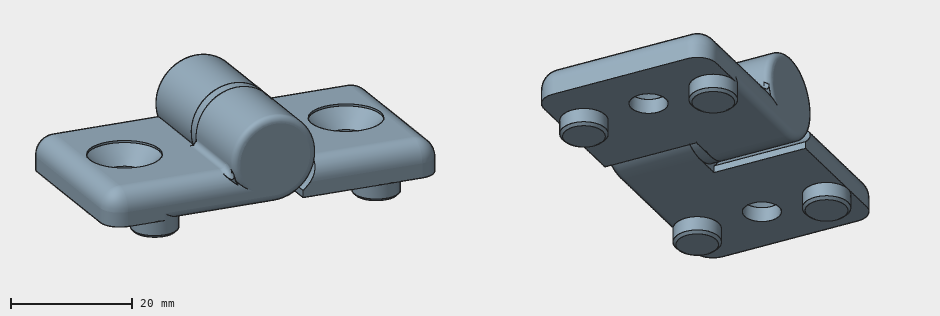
import cadquery as cq
import math

length = 60.0
width = 32.0
plate_height = 6.0
edge_radius = 3.5

barrel_diameter = 15.0
barrel_end_radius = 1.2
washer_thickness = 2.0
blend_radius = 1.0
blend_envelope = 1.2
blend_floor = 2.7
blend_start = 3.0

clearance_gap = 0.5
clearance_lip = 5.0

hole_offset = 20.0
hole_diameter = 6.4
countersink_diameter = 12.4
countersink_angle = 90.0
countersink_recess = 0.35

peg_diameter = 8.0
peg_length = 3.0
peg_chamfer = 0.5

half_width = width / 2
half_length = length / 2
axis_height = barrel_diameter / 2
clearance_radius = barrel_diameter / 2 + clearance_gap
barrel_length = (width - washer_thickness) / 2
washer_start = -washer_thickness / 2
valley_offset = math.sqrt(axis_height**2 - (axis_height - plate_height) ** 2)
valley_middle = (-(half_width - edge_radius - washer_start) / 2, valley_offset, plate_height)
peg_offset = half_width - peg_diameter / 2


def axial_cylinder(diameter, start, span):
    """Cylinder on the hinge axis, running in +X from start."""
    return (
        cq.Workplane("YZ", origin=(start, 0, axis_height))
        .circle(diameter / 2)
        .extrude(span)
    )


def make_plate():
    """Plate from the hinge axis to the outer end, with rounded outer corners and upper edges."""
    plate = (
        cq.Workplane("XY")
        .box(width, half_length, plate_height, centered=(True, False, False))
        .edges("|Z and >Y")
        .fillet(edge_radius)
    )
    return plate.faces(">Z").edges("not <Y").fillet(edge_radius)


def clearance_cutter():
    """Space for the washer and the opposite barrel, with a blunt lip along the bottom."""
    span = half_width - washer_start
    round_space = axial_cylinder(2 * clearance_radius, washer_start, span)
    lip_space = cq.Workplane("XY", origin=(washer_start, 0, 0)).box(
        span, clearance_lip, axis_height, centered=False
    )
    return round_space.union(lip_space)


def bottom_edge_cutter():
    """Waste of the rounded bottom side edge, between the barrel and the peg."""
    return (
        cq.Workplane("XZ", origin=(-half_width, 0, 0))
        .lineTo(barrel_end_radius, 0)
        .radiusArc((0, barrel_end_radius), barrel_end_radius)
        .close()
        .extrude(-hole_offset)
    )


def make_barrel():
    return (
        axial_cylinder(barrel_diameter, -half_width, barrel_length)
        .faces("<X")
        .edges()
        .fillet(barrel_end_radius)
    )


def make_peg(x):
    """Locating peg; its root reaches into the plate past the rounded bottom edge."""
    return (
        cq.Workplane("XY", origin=(x, hole_offset, -peg_length))
        .circle(peg_diameter / 2)
        .extrude(peg_length + barrel_end_radius)
        .faces("<Z")
        .chamfer(peg_chamfer)
    )


def cut_screw_hole(leaf):
    """Short straight rim at the top, then a countersunk through hole below it."""
    rim = (
        cq.Workplane("XY", origin=(0, hole_offset, plate_height))
        .circle(countersink_diameter / 2)
        .extrude(-countersink_recess)
    )
    cone_top = cq.Workplane("XY", origin=(0, hole_offset, plate_height - countersink_recess))
    return (
        leaf.cut(rim)
        .copyWorkplane(cone_top)
        .cskHole(hole_diameter, countersink_diameter, countersink_angle)
    )


def make_blend(plate):
    """Concave blend from the barrel to the plate top, running down over the rounded side edge."""
    long_barrel = axial_cylinder(barrel_diameter, -width, width + washer_start)
    upper_part = plate.union(long_barrel).intersect(
        cq.Workplane("XY", origin=(0, 0, blend_floor))
        .box(2 * width, length, barrel_diameter, centered=(True, True, False))
    )
    valley = cq.selectors.NearestToPointSelector(valley_middle)
    blended = upper_part.edges(valley).fillet(blend_radius)
    envelope_radius = axis_height + blend_envelope
    envelope = (
        axial_cylinder(2 * envelope_radius, -half_width, barrel_length)
        .faces("<X")
        .edges()
        .fillet(barrel_end_radius + blend_envelope)
    )
    neighbourhood = cq.Workplane("XY", origin=(-half_width, blend_start, blend_floor)).box(
        barrel_length, axis_height, axis_height - blend_floor, centered=False
    )
    return blended.intersect(neighbourhood).cut(long_barrel).intersect(envelope)


def make_leaf():
    """Leaf on the +Y side, with its barrel on the -X half."""
    plate = make_plate().cut(clearance_cutter())
    leaf = plate.union(make_blend(plate)).union(make_barrel())
    leaf = leaf.cut(bottom_edge_cutter())
    for x in (-peg_offset, peg_offset):
        leaf = leaf.union(make_peg(x))
    return cut_screw_hole(leaf)


def make_washer():
    return axial_cylinder(barrel_diameter, washer_start, washer_thickness)


leaves = []
for turn in (0, 180):
    leaf = make_leaf().rotate((0, 0, 0), (0, 0, 1), turn)
    leaves.append(leaf.solids().val())

washer = make_washer()

result = cq.Compound.makeCompound([*leaves, washer.val()])